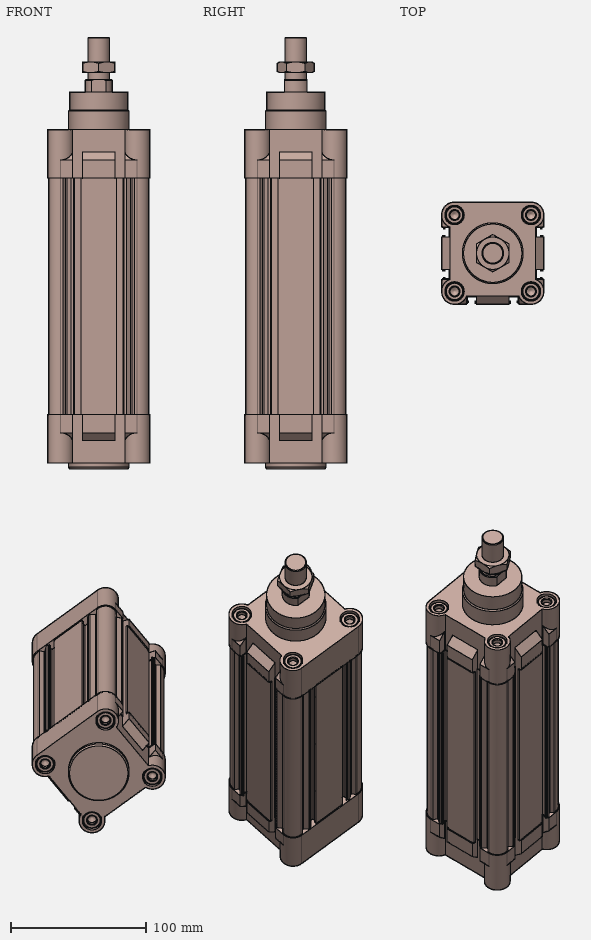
import cadquery as cq
import math

TOTAL_HEIGHT = 319.0
PILOT_HEIGHT = 4.5
CAP_HEIGHT = 35.7
BARREL_LENGTH = 174.8
NECK_HEIGHT = 14.7
GLAND_HEIGHT = 13.0
FLATS_HEIGHT = 9.3
NUT_GAP = 5.0

REAR_CAP_Z = PILOT_HEIGHT
BARREL_Z = REAR_CAP_Z + CAP_HEIGHT
FRONT_CAP_Z = BARREL_Z + BARREL_LENGTH
CAP_TOP_Z = FRONT_CAP_Z + CAP_HEIGHT
GLAND_TOP_Z = CAP_TOP_Z + NECK_HEIGHT + GLAND_HEIGHT
COLLAR_TOP_Z = GLAND_TOP_Z + FLATS_HEIGHT
NUT_Z = COLLAR_TOP_Z + NUT_GAP

CAP_WIDTH = 75.5
CAP_HALF = CAP_WIDTH / 2
CORE_HALF = 31.5
BOSS_RADIUS = 9.5
BOSS_OFFSET = CAP_HALF - BOSS_RADIUS
PAD_HALF_WIDTH = 12.0
CORNER_PAD_INNER = 19.5
PAD_STRAIGHT = 13.5
PAD_RAMP = 5.7

SCREW_HOLE_DIAMETER = 14.5
SCREW_HEAD_DIAMETER = 13.0
SCREW_RIM_DIAMETER = 12.0
SCREW_HOLE_DEPTH = 3.2
SCREW_HEAD_SINK = 1.3
SOCKET_RIM_DIAMETER = 8.0
SOCKET_DIAMETER = 6.7
SOCKET_DEPTH = 3.8
SOCKET_CONE_DEPTH = 2.0

NECK_DIAMETER = 45.0
GLAND_DIAMETER = 43.0
NECK_CHAMFER = (NECK_DIAMETER - GLAND_DIAMETER) / 2
PILOT_CHAMFER = 1.5

BARREL_HALF = 37.0
BARREL_CORNER_RADIUS = BARREL_HALF - BOSS_OFFSET
SLOT_INNER = 13.0
SLOT_OUTER = 18.0
SLOT_UNDERCUT = 1.0
SLOT_FLOOR = 32.2
LIP_THICKNESS = 1.5
LIP_STEP_WIDTH = 1.0
LIP_STEP_DEPTH = 0.5
GROOVE_START = 20.5
GROOVE_FLOOR_START = 23.5
GROOVE_FLOOR_END = 24.5
GROOVE_END = 26.5
GROOVE_DEPTH = 2.5

ROD_DIAMETER = 16.0
ROD_CHAMFER = 0.5
COLLAR_DIAMETER = 20.0
COLLAR_ACROSS_FLATS = 17.0
COLLAR_CHAMFER = 0.5
NUT_ACROSS_FLATS = 24.0
NUT_HEIGHT = 8.0
NUT_CHAMFER_ANGLE = 30.0

QUARTER_TURNS = (0, 90, 180, 270)
CORNERS = [(sx * BOSS_OFFSET, sy * BOSS_OFFSET) for sx in (-1, 1) for sy in (-1, 1)]


def about_z(shape, angle):
    return shape.rotate((0, 0, 0), (0, 0, 1), angle)


def cap_pad(x_start, x_end):
    """Raised pad on the -Y side of a cap, with a ramp that dies out into the core."""
    return (
        cq.Workplane("YZ")
        .workplane(offset=x_start)
        .moveTo(-CORE_HALF, 0)
        .lineTo(-CAP_HALF, 0)
        .lineTo(-CAP_HALF, PAD_STRAIGHT)
        .lineTo(-CORE_HALF, PAD_STRAIGHT + PAD_RAMP)
        .close()
        .extrude(x_end - x_start)
    )


def screw_hole():
    """Cutter for the annular gap around a screw head and the socket in the head, top face at Z = 0."""
    gap = cq.Workplane("XY").circle(SCREW_HOLE_DIAMETER / 2).extrude(-SCREW_HOLE_DEPTH)
    head_chamfer = (SCREW_HEAD_DIAMETER - SCREW_RIM_DIAMETER) / 2
    socket_chamfer = (SOCKET_RIM_DIAMETER - SOCKET_DIAMETER) / 2
    head = (
        cq.Workplane("XY", origin=(0, 0, -SCREW_HOLE_DEPTH))
        .circle(SCREW_HEAD_DIAMETER / 2)
        .extrude(SCREW_HOLE_DEPTH - SCREW_HEAD_SINK)
        .faces(">Z")
        .chamfer(head_chamfer)
    )
    socket = (
        cq.Workplane("XZ")
        .moveTo(0, -SCREW_HEAD_SINK)
        .lineTo(SOCKET_RIM_DIAMETER / 2, -SCREW_HEAD_SINK)
        .lineTo(SOCKET_DIAMETER / 2, -SCREW_HEAD_SINK - socket_chamfer)
        .lineTo(SOCKET_DIAMETER / 2, -SCREW_HEAD_SINK - SOCKET_DEPTH)
        .lineTo(0, -SCREW_HEAD_SINK - SOCKET_DEPTH - SOCKET_CONE_DEPTH)
        .close()
        .revolve(360, (0, 0), (0, 1))
    )
    return gap.cut(head).union(socket)


def end_cap():
    """End cap standing on Z = 0 with its barrel face down; the +Y side is flush with the bosses."""
    cap = cq.Workplane("XY").rect(2 * CORE_HALF, 2 * CORE_HALF).extrude(CAP_HEIGHT)
    flush_side = (
        cq.Workplane("XY")
        .center(0, BOSS_OFFSET / 2 + CAP_HALF / 2)
        .rect(2 * BOSS_OFFSET, BOSS_RADIUS)
        .extrude(CAP_HEIGHT)
    )
    bosses = cq.Workplane("XY").pushPoints(CORNERS).circle(BOSS_RADIUS).extrude(CAP_HEIGHT)
    cap = cap.union(flush_side).union(bosses)
    pads = (
        (-PAD_HALF_WIDTH, PAD_HALF_WIDTH),
        (-BOSS_OFFSET, -CORNER_PAD_INNER),
        (CORNER_PAD_INNER, BOSS_OFFSET),
    )
    for angle in QUARTER_TURNS:
        for x_start, x_end in pads:
            cap = cap.union(about_z(cap_pad(x_start, x_end), angle))
    for x, y in CORNERS:
        cap = cap.cut(screw_hole().translate((x, y, CAP_HEIGHT)))
    return cap


def barrel_slot():
    """Undercut slot on the -Y side of the barrel, right of the middle rib, with a stepped outer lip."""
    lip_bottom = -BARREL_HALF + LIP_THICKNESS
    lip_step = -BARREL_HALF + LIP_STEP_DEPTH
    return (
        cq.Workplane("XY")
        .polyline([
            (SLOT_INNER, -BARREL_HALF),
            (SLOT_INNER, lip_bottom),
            (SLOT_INNER - SLOT_UNDERCUT, lip_bottom),
            (SLOT_INNER - SLOT_UNDERCUT, -SLOT_FLOOR),
            (SLOT_OUTER + SLOT_UNDERCUT, -SLOT_FLOOR),
            (SLOT_OUTER + SLOT_UNDERCUT, lip_bottom),
            (SLOT_OUTER, lip_bottom),
            (SLOT_OUTER, lip_step),
            (SLOT_OUTER + LIP_STEP_WIDTH, lip_step),
            (SLOT_OUTER + LIP_STEP_WIDTH, -BARREL_HALF),
        ])
        .close()
        .extrude(BARREL_LENGTH)
    )


def barrel_groove():
    """Shallow tapered groove on the -Y side of the barrel, between the slot and the corner."""
    floor = -BARREL_HALF + GROOVE_DEPTH
    return (
        cq.Workplane("XY")
        .polyline([
            (GROOVE_START, -BARREL_HALF),
            (GROOVE_FLOOR_START, floor),
            (GROOVE_FLOOR_END, floor),
            (GROOVE_END, -BARREL_HALF),
        ])
        .close()
        .extrude(BARREL_LENGTH)
    )


def barrel():
    """Profiled barrel standing on Z = 0."""
    tube = (
        cq.Workplane("XY")
        .rect(2 * BARREL_HALF, 2 * BARREL_HALF)
        .extrude(BARREL_LENGTH)
        .edges("|Z")
        .fillet(BARREL_CORNER_RADIUS)
    )
    right_side = barrel_slot().union(barrel_groove())
    side_cuts = right_side.union(right_side.mirror("YZ"))
    for angle in QUARTER_TURNS:
        tube = tube.cut(about_z(side_cuts, angle))
    return tube


def make_housing():
    """Both end caps, barrel, rod gland and rear pilot in one piece."""
    front_cap = end_cap().translate((0, 0, FRONT_CAP_Z))
    rear_cap = end_cap().mirror("XY").translate((0, 0, BARREL_Z))
    neck = (
        cq.Workplane("XY", origin=(0, 0, CAP_TOP_Z))
        .circle(NECK_DIAMETER / 2)
        .extrude(NECK_HEIGHT)
        .faces(">Z")
        .chamfer(NECK_CHAMFER)
    )
    gland = (
        cq.Workplane("XY", origin=(0, 0, CAP_TOP_Z + NECK_HEIGHT))
        .circle(GLAND_DIAMETER / 2)
        .extrude(GLAND_HEIGHT)
    )
    pilot = (
        cq.Workplane("XY")
        .circle(NECK_DIAMETER / 2)
        .extrude(PILOT_HEIGHT)
        .faces("<Z")
        .chamfer(PILOT_CHAMFER, NECK_CHAMFER)
    )
    housing = barrel().translate((0, 0, BARREL_Z))
    for piece in (front_cap, rear_cap, neck, gland, pilot):
        housing = housing.union(piece)
    return housing


def make_rod():
    """Rod end standing on the gland: a collar with two wrench flats below the plain shank."""
    flats = cq.Workplane("XY").rect(COLLAR_DIAMETER, COLLAR_ACROSS_FLATS).extrude(FLATS_HEIGHT)
    collar = (
        cq.Workplane("XY")
        .circle(COLLAR_DIAMETER / 2)
        .extrude(FLATS_HEIGHT)
        .faces(">Z")
        .chamfer(COLLAR_CHAMFER)
        .intersect(flats)
    )
    shank = (
        cq.Workplane("XY", origin=(0, 0, FLATS_HEIGHT))
        .circle(ROD_DIAMETER / 2)
        .extrude(TOTAL_HEIGHT - COLLAR_TOP_Z)
        .faces(">Z")
        .chamfer(ROD_CHAMFER)
    )
    return collar.union(shank).translate((0, 0, GLAND_TOP_Z))


def make_nut():
    """Hexagon nut on the shank, corners pointing along Y and chamfered at both ends."""
    across_corners = NUT_ACROSS_FLATS / math.cos(math.radians(30))
    corner_cut = (across_corners - NUT_ACROSS_FLATS) / 2
    chamfer_height = corner_cut * math.tan(math.radians(NUT_CHAMFER_ANGLE))
    hexagon = about_z(cq.Workplane("XY").polygon(6, across_corners).extrude(NUT_HEIGHT), 30)
    envelope = (
        cq.Workplane("XY")
        .circle(across_corners / 2)
        .extrude(NUT_HEIGHT)
        .faces(">Z")
        .chamfer(chamfer_height, corner_cut)
        .faces("<Z")
        .chamfer(chamfer_height, corner_cut)
    )
    bore = cq.Workplane("XY").circle(ROD_DIAMETER / 2).extrude(NUT_HEIGHT)
    return hexagon.intersect(envelope).cut(bore).translate((0, 0, NUT_Z))


housing = make_housing()
rod = make_rod()
nut = make_nut()

result = cq.Compound.makeCompound([housing.val(), rod.val(), nut.val()])